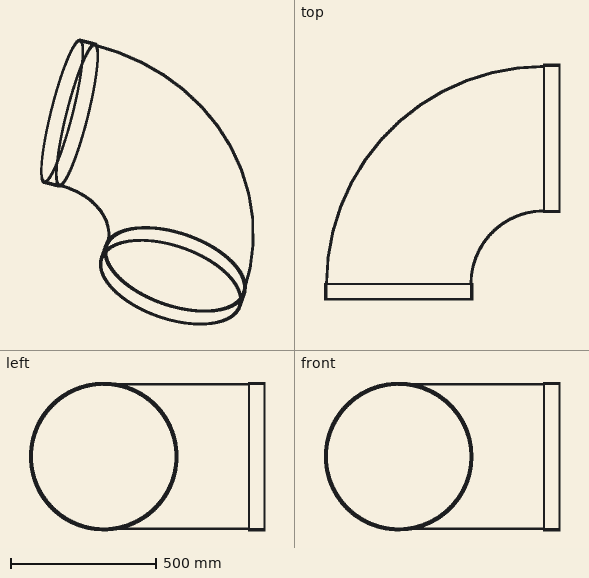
import cadquery as cq

overall_length = 808.0
collar_diameter = 508.0
pipe_diameter = 500.0
pipe_bore = 495.0
collar_bore = 499.0
bend_radius = pipe_diameter

collar_radius = collar_diameter / 2
face_distance = overall_length - collar_radius
collar_length = face_distance - bend_radius


def elbow(diameter):
    """Solid quarter torus from the -Y end to the +X end."""
    return (
        cq.Workplane("XZ", origin=(0, -bend_radius, 0))
        .circle(diameter / 2)
        .revolve(90, (bend_radius, 0, 0), (bend_radius, -1, 0))
    )


def end_cylinders(diameter):
    """Straight cylinders running from both bend ends to the open faces."""
    front = (
        cq.Workplane("XZ", origin=(0, -bend_radius, 0))
        .circle(diameter / 2)
        .extrude(collar_length)
    )
    side = (
        cq.Workplane("YZ", origin=(bend_radius, 0, 0))
        .circle(diameter / 2)
        .extrude(collar_length)
    )
    return front.union(side)


outside = elbow(pipe_diameter).union(end_cylinders(collar_diameter))
bore = elbow(pipe_bore).union(end_cylinders(collar_bore))
result = outside.cut(bore)